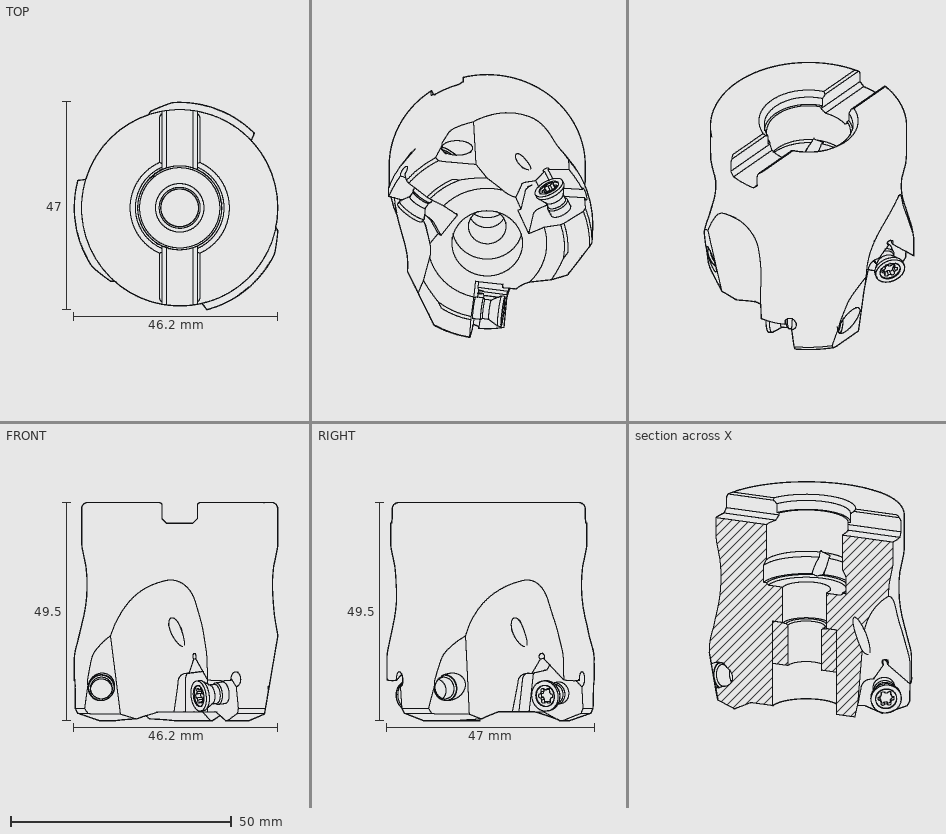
import cadquery as cq
import math


height = 49.5
hub_radius = 22.25
top_fillet = 1.5
collar_bottom = 40.0
taper_top = 39.3
taper_edge = 0.05
waist_top = 34.9
waist_top_radius = 21.3
waist_radius = 21.05
waist_z = 29.5
waist_bottom = 22.0
waist_bottom_radius = 22.2
crown_radius = 23.92
crown_blend_top = 15.9
crown_blend_bottom = 13.6
crown_blend_radius = 23.7
crown_bulge = 0.05
relief_top = 9.3
relief_bottom = 7.8
relief_radius = 23.75
edge_top = 2.8
edge_bottom = 1.7
edge_bottom_radius = 23.2
face_outer_radius = 18.3
face_inner_radius = 17.5
dish_radius = 13.5
dish_depth = 2.0

mouth_radius = 11.25
mouth_depth = 1.1
recess_radius = 10.05
recess_depth = 3.2
bore_radius = 9.525
undercut_radius = 10.3
undercut_top = 36.5
undercut_taper_end = 35.0
undercut_bottom = 31.0
bore_floor_radius = 9.1
bore_floor = 30.5
bolt_hole_radius = 5.5
bolt_seat = 22.0
bolt_well_radius = 8.0

ring_height = 10.0
ring_hole_radius = 4.25
ring_chamfer = 0.4

slot_width = 8.0
slot_depth = 4.7
slot_bottom_chamfer = 1.0
slot_top_chamfer_width = 0.6
slot_top_chamfer_depth = 0.4

tooth_count = 3
first_tooth_angle = 30
tooth_angles = [first_tooth_angle + 360 / tooth_count * i for i in range(tooth_count)]
reach = 60.0

wall_x = -6.4
flute_corner_y = -11.8
flute_floor_angle = 72.0
flute_width = 20.0
flute_fillet = 7.0
flute_slope = (0.03, 0.09)
runout_z = 21.1
runout_radius = 14.3

back_azimuth = -30.0
back_tilt = -9.7
back_distance = 18.7
heel_tilt = -67.0
heel_start = 15.7

coolant_radius = 1.3
coolant_start = (-8.1, -16.1, 13.0)
coolant_direction = (0.0, 0.45, 0.89)
coolant_length = 26.0

screw_head = (-5.3, -17.75, 5.6)
screw_tilt = 6.5
screw_length = 12.5
screw_hole_length = 16.5
screw_head_radius = 3.45
screw_head_rim = 0.8
screw_cone_end = 3.0
screw_neck_radius = 2.2
screw_neck_end = 4.4
screw_thread_start = 4.8
screw_radius = 2.47
screw_dish_radius = 2.4
screw_dish_depth = 0.3
torx_radius = 1.85
torx_lobe_radius = 0.45
torx_depth = 1.6
torx_lobes = 6

seat_distance = 6.6
pocket_depth = 20.0
pocket_step_depth = 6.2
pocket_step = 0.8
pocket_apex = (-0.3, 9.0)
pocket_shoulder = (-2.9, 5.2)
pocket_inner = -5.9
pocket_inner_bottom = -8.9
pocket_fillet = 1.8
pocket_slope = 43.0
pocket_span = 12.0
pocket_drop = 12.0
groove_radius = 1.3
apex_relief_radius = 0.7

exit_radius = 3.0
exit_chamfer = 0.4


def direction(azimuth, tilt):
    """Unit vector at this azimuth from +X and this angle above horizontal, in degrees."""
    turn = math.radians(azimuth)
    rise = math.radians(tilt)
    return cq.Vector(math.cos(turn) * math.cos(rise), math.sin(turn) * math.cos(rise), math.sin(rise))


axis_direction = direction(0, screw_tilt)


def on_screw_axis(distance):
    """Plane across the screw axis, facing the head; local x is outward and local y is up."""
    origin = cq.Vector(*screw_head) + axis_direction * distance
    return cq.Plane(origin=origin, xDir=(0, -1, 0), normal=axis_direction * -1)


def turned(shape, angle):
    return shape.rotate((0, 0, 0), (0, 0, 1), angle)


def make_hub():
    outline = (
        cq.Workplane("XZ")
        .moveTo(0, height)
        .lineTo(hub_radius - top_fillet, height)
        .radiusArc((hub_radius, height - top_fillet), top_fillet)
        .lineTo(hub_radius, collar_bottom)
        .lineTo(hub_radius - taper_edge, taper_top)
        .lineTo(waist_top_radius, waist_top)
        .threePointArc((waist_radius, waist_z), (waist_bottom_radius, waist_bottom))
        .lineTo(crown_blend_radius, crown_blend_top)
        .threePointArc(
            (crown_radius - crown_bulge, (crown_blend_top + crown_blend_bottom) / 2),
            (crown_radius, crown_blend_bottom),
        )
        .lineTo(crown_radius, relief_top)
        .lineTo(relief_radius, relief_bottom)
        .lineTo(relief_radius, edge_top)
        .lineTo(edge_bottom_radius, edge_bottom)
        .lineTo(face_outer_radius, 0)
        .lineTo(face_inner_radius, 0)
        .lineTo(dish_radius, dish_depth)
        .lineTo(0, dish_depth)
        .close()
    )
    return outline.revolve(360, (0, 0, 0), (0, 1, 0))


def make_bore():
    recess_floor = height - recess_depth
    outline = (
        cq.Workplane("XZ")
        .moveTo(0, height)
        .lineTo(mouth_radius, height)
        .lineTo(recess_radius, height - mouth_depth)
        .lineTo(recess_radius, recess_floor)
        .lineTo(bore_radius, recess_floor)
        .lineTo(bore_radius, undercut_top)
        .lineTo(undercut_radius, undercut_taper_end)
        .lineTo(undercut_radius, undercut_bottom)
        .lineTo(bore_radius, undercut_bottom)
        .lineTo(bore_floor_radius, bore_floor)
        .lineTo(bolt_hole_radius, bore_floor)
        .lineTo(bolt_hole_radius, bolt_seat)
        .lineTo(bolt_well_radius, bolt_seat)
        .lineTo(bolt_well_radius, 0)
        .lineTo(0, 0)
        .close()
    )
    return outline.revolve(360, (0, 0, 0), (0, 1, 0))


def make_slot():
    half = slot_width / 2
    floor = height - slot_depth
    flank = [
        (half - slot_bottom_chamfer, floor),
        (half, floor + slot_bottom_chamfer),
        (half, height - slot_top_chamfer_depth),
        (half + slot_top_chamfer_width, height),
    ]
    mirrored = [(-x, z) for x, z in reversed(flank)]
    return cq.Workplane("XZ").polyline(flank + mirrored).close().extrude(reach / 2, both=True)


def flute_profile(plane):
    """Outline across the flute: local x runs along the floor toward the wall, local y points outward."""
    turn = math.radians(flute_floor_angle)
    tangent = flute_fillet * math.tan(turn / 2)
    middle = (
        -tangent + flute_fillet * math.sin(turn / 2),
        flute_fillet * (1 - math.cos(turn / 2)),
    )
    return (
        cq.Workplane(plane)
        .moveTo(-flute_width, 0)
        .lineTo(-tangent, 0)
        .threePointArc(middle, (tangent * math.cos(turn), tangent * math.sin(turn)))
        .lineTo(runout_radius / math.tan(turn), runout_radius)
        .lineTo(-flute_width, runout_radius)
        .close()
    )


def make_flute():
    down = cq.Vector(*flute_slope, -1)
    floor = direction(flute_floor_angle - 90, 0)
    plane = cq.Plane(origin=(wall_x, flute_corner_y, runout_z), xDir=floor, normal=down)
    straight = flute_profile(plane).extrude(reach)
    runout = flute_profile(plane).revolve(-90, (0, runout_radius, 0), (1, runout_radius, 0))
    return straight.union(runout)


def half_space(origin, normal):
    """Block that fills the side of a plane its normal points to."""
    return cq.Workplane(cq.Plane(origin=origin, normal=normal)).rect(2 * reach, 2 * reach).extrude(reach)


def make_back_cut():
    normal = direction(back_azimuth, back_tilt)
    return half_space(normal * back_distance, normal)


def make_heel_cut():
    start = direction(back_azimuth, 0) * heel_start
    return half_space(start, direction(back_azimuth, heel_tilt))


def pocket_outer_end():
    slope = math.radians(pocket_slope)
    return (
        pocket_apex[0] + pocket_span * math.cos(slope),
        pocket_apex[1] - pocket_span * math.sin(slope),
    )


def pocket_layer(plane, depth, inset):
    """Pocket outline raised from the seat, with its inner wall moved toward the hub axis by the inset."""
    outer = pocket_outer_end()
    shoulder = pocket_shoulder[1]
    inner = pocket_inner - inset
    return (
        cq.Workplane(plane)
        .moveTo(*pocket_apex)
        .lineTo(*outer)
        .lineTo(outer[0], -pocket_drop)
        .lineTo(pocket_inner_bottom - inset, -pocket_drop)
        .lineTo(inner, shoulder - pocket_fillet)
        .radiusArc((inner + pocket_fillet, shoulder), pocket_fillet)
        .lineTo(*pocket_shoulder)
        .close()
        .extrude(depth)
    )


def make_pocket():
    seat = on_screw_axis(seat_distance)
    opening = pocket_layer(seat, pocket_depth, 0)
    stepped_floor = pocket_layer(seat, pocket_step_depth, pocket_step)
    groove_start = seat.toWorldCoords(pocket_apex)
    along = seat.toWorldCoords(pocket_outer_end()) - groove_start
    groove = cq.Workplane(cq.Solid.makeCylinder(groove_radius, pocket_span, groove_start, along))
    apex_relief = cq.Workplane(seat).center(*pocket_apex).circle(apex_relief_radius).extrude(pocket_depth)
    return opening.union(stepped_floor).union(groove).union(apex_relief)


def make_coolant_hole():
    hole = cq.Solid.makeCylinder(
        coolant_radius, coolant_length, cq.Vector(*coolant_start), cq.Vector(*coolant_direction)
    )
    return cq.Workplane(hole)


def make_screw_hole():
    floor = on_screw_axis(screw_hole_length)
    thread = cq.Workplane(floor).circle(screw_radius).extrude(screw_hole_length - seat_distance)
    countersink = cq.Workplane(
        cq.Solid.makeCone(
            screw_radius + exit_chamfer, screw_radius, exit_chamfer, floor.origin, axis_direction * -1
        )
    )
    exit_bore = cq.Workplane(floor).circle(exit_radius).extrude(-reach / 2)
    return thread.union(countersink).union(exit_bore)


def make_screw():
    axis_plane = cq.Plane(origin=screw_head, xDir=axis_direction, normal=(0, -1, 0))
    outline = [
        (0, 0),
        (0, screw_head_radius),
        (screw_head_rim, screw_head_radius),
        (screw_cone_end, screw_neck_radius),
        (screw_neck_end, screw_neck_radius),
        (screw_thread_start, screw_radius),
        (screw_length, screw_radius),
        (screw_length, 0),
    ]
    screw = cq.Workplane(axis_plane).polyline(outline).close().revolve(360, (0, 0, 0), (1, 0, 0))
    face = on_screw_axis(0)
    dish = cq.Workplane(face).circle(screw_dish_radius).extrude(-screw_dish_depth)
    socket = cq.Workplane(face).circle(torx_radius - torx_lobe_radius).extrude(-torx_depth)
    lobes = (
        cq.Workplane(face)
        .polarArray(torx_radius - torx_lobe_radius, 0, 360, torx_lobes)
        .circle(torx_lobe_radius)
        .extrude(-torx_depth)
    )
    return screw.cut(dish).cut(socket).cut(lobes)


def make_retaining_ring():
    base = bolt_seat - ring_height
    ring = (
        cq.Workplane("XY", origin=(0, 0, base))
        .circle(bolt_well_radius)
        .circle(ring_hole_radius)
        .extrude(ring_height)
    )
    return ring.faces(">Z").edges(cq.selectors.RadiusNthSelector(0)).chamfer(ring_chamfer)


cutter = make_hub().cut(make_bore()).cut(make_slot())
tooth_cuts = [
    make_flute(),
    make_back_cut(),
    make_heel_cut(),
    make_pocket(),
    make_coolant_hole(),
    make_screw_hole(),
]
for angle in tooth_angles:
    for tooth_cut in tooth_cuts:
        cutter = cutter.cut(turned(tooth_cut, angle))

insert_screw = make_screw()
insert_screws = [turned(insert_screw, angle) for angle in tooth_angles]
retaining_ring = make_retaining_ring()

result = cq.Compound.makeCompound(
    [*cutter.vals(), *[screw.val() for screw in insert_screws], retaining_ring.val()]
)